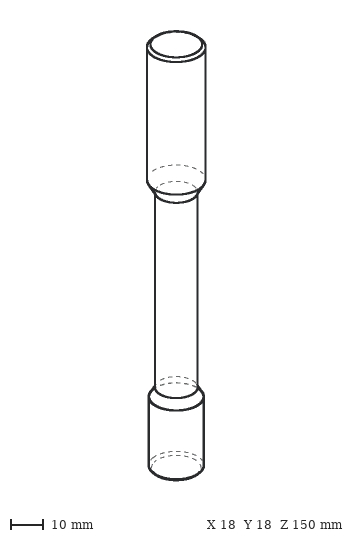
import cadquery as cq

total_length = 150.0

head_diameter = 17.0
head_length = 25.2
tip_chamfer = 0.9

grip_diameter = 18.0
grip_bottom = 102.0
grip_chamfer = 1.0
neck_diameter = 13.0
neck_top = 97.6
neck_bottom = 28.5
shank_base_diameter = 16.6


def make_head():
    """Cylindrical cutting head, chamfered around its lower edge."""
    head = cq.Workplane("XY").circle(head_diameter / 2).extrude(head_length)
    return head.faces("<Z").edges().chamfer(tip_chamfer)


def make_shank():
    """Turned shank resting on the head; its base leaves a narrow ledge on the head."""
    grip_radius = grip_diameter / 2
    neck_radius = neck_diameter / 2
    profile = (
        cq.Workplane("XZ")
        .moveTo(0, head_length)
        .lineTo(shank_base_diameter / 2, head_length)
        .lineTo(neck_radius, neck_bottom)
        .lineTo(neck_radius, neck_top)
        .lineTo(grip_radius, grip_bottom)
        .lineTo(grip_radius, total_length)
        .lineTo(0, total_length)
        .close()
    )
    shank = profile.revolve(360, (0, 0, 0), (0, 1, 0))
    return shank.faces(">Z").edges().chamfer(grip_chamfer)


head = make_head()
shank = make_shank()
result = cq.Compound.makeCompound([head.val(), shank.val()])